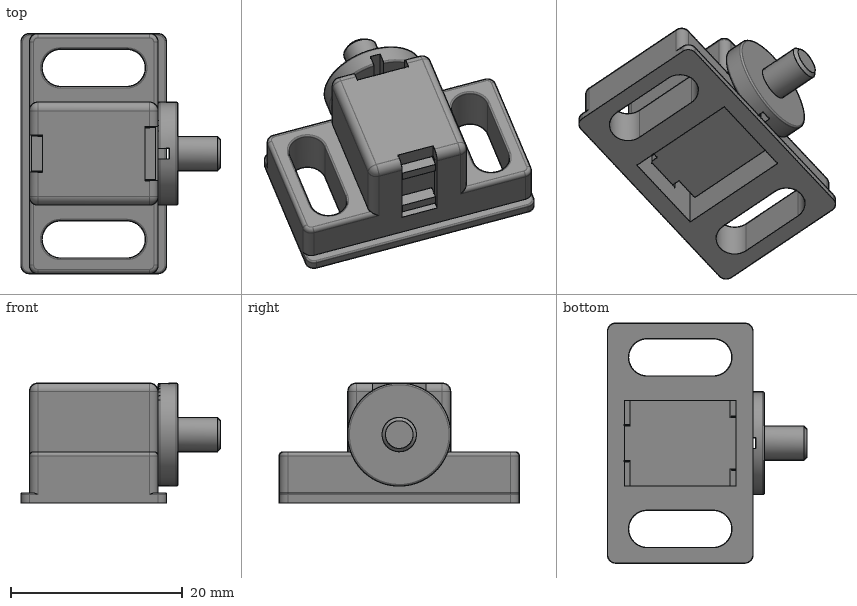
import cadquery as cq


base_width = 28.0
base_length = 15.0
base_height = 6.0
base_edge_radius = 0.5
tower_width = 12.0
tower_height = 14.0
corner_radius = 1.0
flange_length = 17.0
flange_height = 1.2
flange_edge_radius = 0.2
wall = 1.0
ceiling_height = 12.0

slot_spacing = 20.0
slot_width = 4.3
slot_length = 12.0
slot_mouth_radius = 0.2

window_sill = 4.0
window_depth = 1.5
left_window_width = 4.3
right_window_width = 6.27

pack_bottom = 4.65
core_setback = 1.68
pole_height = 1.2
pole_setback = 0.28
pole_side_gap = 0.1

pin_diameter = 4.0
pin_tip_chamfer = 0.4
disc_diameter = 12.0
disc_thickness = 2.3
disc_edge_radius = 0.2
disc_slot_width = 1.2
disc_slot_depth = 1.3
overall_length = 23.3

end_face = base_length / 2
cavity_width = tower_width - 2 * wall
cavity_length = base_length - 2 * wall
core_end = end_face - core_setback
pole_end = end_face - pole_setback
pin_axis_height = tower_height - disc_diameter / 2
pin_end = overall_length - flange_length / 2
disc_outer_face = end_face + disc_thickness


def block(x_range, y_width, z_range):
    """Box between two X and two Z positions, centred on Y = 0."""
    length = x_range[1] - x_range[0]
    height = z_range[1] - z_range[0]
    box = cq.Workplane("XY").box(length, y_width, height, centered=(False, True, False))
    return box.translate((x_range[0], 0, z_range[0]))


def rounded_block(length, width, height, top_radius):
    """Block standing on Z = 0 with rounded corners and a rounded top edge."""
    box = cq.Workplane("XY").box(length, width, height, centered=(True, True, False))
    return box.edges("|Z").fillet(corner_radius).faces(">Z").edges().fillet(top_radius)


def rod(diameter, x_start, x_end):
    """Cylinder along the pin axis."""
    plane = cq.Workplane("YZ", origin=(x_start, 0, pin_axis_height))
    return plane.circle(diameter / 2).extrude(x_end - x_start)


def cut_mounting_slots(foot):
    """Two through slots along X, each with a rounded upper mouth."""
    for y in (-slot_spacing / 2, slot_spacing / 2):
        slot = cq.Workplane("XY").center(0, y).slot2D(slot_length, slot_width).extrude(base_height)
        foot = foot.cut(slot)
    mouths = [edge for wire in foot.faces(">Z").val().innerWires() for edge in wire.Edges()]
    return foot.newObject(mouths).fillet(slot_mouth_radius)


def end_window(side, width):
    """Cutter for the window in one end wall; side is -1 for the -X end, +1 for +X."""
    x_range = sorted((side * (end_face - window_depth), side * end_face))
    return block(x_range, width, (window_sill, tower_height))


def magnet_pack():
    """Core across the cavity, with an upper and a lower pole tip in each end window."""
    pack = block((-core_end, core_end), cavity_width, (pack_bottom, ceiling_height))
    lower_pole = (pack_bottom, pack_bottom + pole_height)
    upper_pole = (ceiling_height - pole_height, ceiling_height)
    for side, window_width in ((-1, left_window_width), (1, right_window_width)):
        x_range = sorted((side * core_end, side * pole_end))
        for z_range in (lower_pole, upper_pole):
            pack = pack.union(block(x_range, window_width - 2 * pole_side_gap, z_range))
    return pack


def make_housing():
    """Flanged foot and tower, hollow from below, with end windows and the magnet pack inside."""
    flange = rounded_block(flange_length, base_width, flange_height, flange_edge_radius)
    base = rounded_block(base_length, base_width, base_height, base_edge_radius)
    tower = rounded_block(base_length, tower_width, tower_height, corner_radius)
    cavity = block((-cavity_length / 2, cavity_length / 2), cavity_width, (0, ceiling_height))
    return (
        cut_mounting_slots(flange.union(base))
        .union(tower)
        .cut(cavity)
        .cut(end_window(-1, left_window_width))
        .cut(end_window(1, right_window_width))
        .union(magnet_pack())
    )


def make_strike():
    """Round strike disc with a pin, and a vertical slot across the face on the housing."""
    disc = rod(disc_diameter, end_face, disc_outer_face).edges().fillet(disc_edge_radius)
    pin = rod(pin_diameter, disc_outer_face, pin_end).faces(">X").chamfer(pin_tip_chamfer)
    slot_x_range = (end_face, end_face + disc_slot_depth)
    slot_z_range = (pin_axis_height - disc_diameter / 2, pin_axis_height + disc_diameter / 2)
    slot = block(slot_x_range, disc_slot_width, slot_z_range)
    return disc.cut(slot).union(pin)


housing = make_housing()
strike = make_strike()
result = cq.Compound.makeCompound([housing.val(), strike.val()])